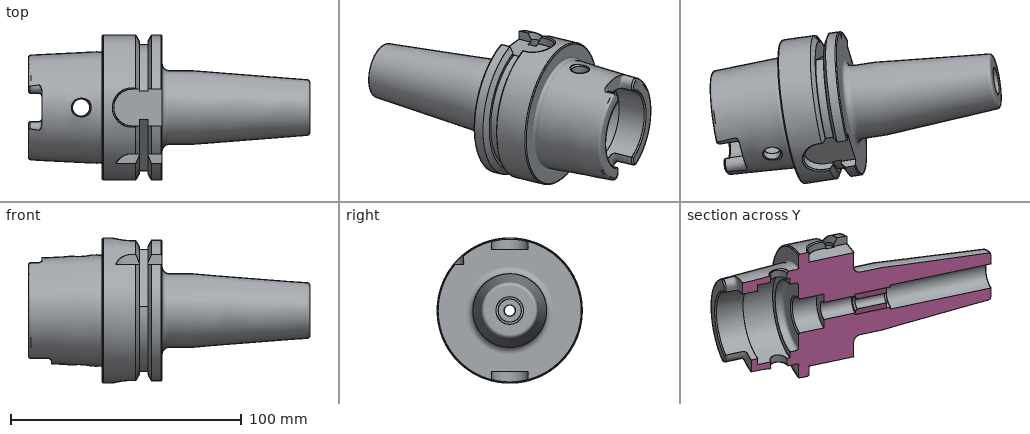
import cadquery as cq
import math

LENGTH = 122.0

TAPER_END_R = 22.7
TAPER_SLOPE = 0.05
TAPER_LENGTH = 29.8
NOSE_ROUND = 1.2
RELIEF_R = 48.1 / 2
RELIEF_START = 30.5
RELIEF_FILLET = 0.9
FACE_RECESS_R = 25.4
FACE_RECESS_DEPTH = 0.1

FLANGE_R = 63.0 / 2
FLANGE_START = 32.0
FLANGE_END = 58.0
FLANGE_CHAMFER = 0.5
GROOVE_R = 27.5
GROOVE_START = 48.1
GROOVE_END = 51.7
GROOVE_FLANK = 1.6
GROOVE_FLANK_ANGLE = 30.0

NECK_R = 32.0 / 2
NECK_FILLET = 3.0
NECK_CONE_START = 71.0
NECK_CONE_ANGLE = 4.5
NECK_TIP_ROUND = 1.5

CAVITY_R = 34.0 / 2
CAVITY_CHAMFER = 0.6
LIP_END = 13.0
CHAMBER_R = 40.0 / 2
CHAMBER_END = 28.0
CAVITY_FLOOR = FLANGE_START
CAVITY_FLOOR_FILLET = 1.5
COOLANT_SEAT_R = 17.0 / 2
COOLANT_SEAT_CHAMFER = 0.6
COOLANT_SEAT_END = 43.9
COOLANT_HOLE_R = 8.4 / 2
SCREW_R = 10.0 / 2
SCREW_START = 58.5
SCREW_END = 73.2
SCREW_HOLE_R = 4.8 / 2
SCREW_COUNTERSINK_R = 6.6 / 2
TOOL_BORE_R = 12.0 / 2
TOOL_BORE_START = 75.0

ACCESS_X = 22.8
ACCESS_R = 7.5 / 2
ACCESS_COUNTERSINK_R = 8.8 / 2

KEY_HALF_WIDTH = 6.1
KEY_DEPTH_TOP = 5.9
KEY_DEPTH_BOTTOM = 10.0
KEY_FLARE_START = 17.7
KEY_FLARE_R = 3.0
KEY_FLOOR_FILLET = 1.5
KEY_ENTRY_CHAMFER = 0.7

CUTTER_R = 7.9
CUTTER_X = 44.9
SLOT_FLOOR = 26.5
SLOT_CHAMFER = 0.6
NOTCH_CORNER = 20.0

FLAT_DISTANCE = 21.6
FLAT_ANGLE = 138.0

CLEARANCE = 6.1


def revolve_about_x(profile):
    """Turn an outline drawn as (x, radius) about the X axis."""
    return profile.close().revolve(360, (0, 0, 0), (1, 0, 0))


def outer_body():
    """Shank, flange, groove and neck as one turned shape."""
    taper_big_r = TAPER_END_R + TAPER_SLOPE * TAPER_LENGTH
    flank_r = FLANGE_R - GROOVE_FLANK / math.tan(math.radians(GROOVE_FLANK_ANGLE))
    neck_tip_r = NECK_R - (LENGTH - NECK_CONE_START) * math.tan(math.radians(NECK_CONE_ANGLE))
    recess_x = FLANGE_START + FACE_RECESS_DEPTH
    profile = (
        cq.Workplane("XY")
        .moveTo(0, 0)
        .lineTo(0, TAPER_END_R)
        .lineTo(TAPER_LENGTH, taper_big_r)
        .lineTo(RELIEF_START, RELIEF_R)
        .lineTo(recess_x - RELIEF_FILLET, RELIEF_R)
        .radiusArc((recess_x, RELIEF_R + RELIEF_FILLET), -RELIEF_FILLET)
        .lineTo(FLANGE_START, FACE_RECESS_R)
        .lineTo(FLANGE_START, FLANGE_R - FLANGE_CHAMFER)
        .lineTo(FLANGE_START + FLANGE_CHAMFER, FLANGE_R)
        .lineTo(GROOVE_START - GROOVE_FLANK, FLANGE_R)
        .lineTo(GROOVE_START, flank_r)
        .lineTo(GROOVE_START, GROOVE_R)
        .lineTo(GROOVE_END, GROOVE_R)
        .lineTo(GROOVE_END, flank_r)
        .lineTo(GROOVE_END + GROOVE_FLANK, FLANGE_R)
        .lineTo(FLANGE_END - FLANGE_CHAMFER, FLANGE_R)
        .lineTo(FLANGE_END, FLANGE_R - FLANGE_CHAMFER)
        .lineTo(FLANGE_END, NECK_R + NECK_FILLET)
        .radiusArc((FLANGE_END + NECK_FILLET, NECK_R), -NECK_FILLET)
        .lineTo(NECK_CONE_START, NECK_R)
        .lineTo(LENGTH, neck_tip_r)
        .lineTo(LENGTH, 0)
    )
    body = revolve_about_x(profile).faces(">X").edges().fillet(NECK_TIP_ROUND)
    return body.faces("<X").edges().fillet(NOSE_ROUND)


def inner_bore():
    """Clamping cavity, coolant seat, screw hole and tool bore as one turned cutting shape."""
    profile = (
        cq.Workplane("XY")
        .moveTo(0, 0)
        .lineTo(0, CAVITY_R + CAVITY_CHAMFER)
        .lineTo(CAVITY_CHAMFER, CAVITY_R)
        .lineTo(LIP_END, CAVITY_R)
        .lineTo(LIP_END, CHAMBER_R)
        .lineTo(CHAMBER_END, CHAMBER_R)
        .lineTo(CHAMBER_END, CAVITY_R)
        .lineTo(CAVITY_FLOOR - CAVITY_FLOOR_FILLET, CAVITY_R)
        .radiusArc((CAVITY_FLOOR, CAVITY_R - CAVITY_FLOOR_FILLET), CAVITY_FLOOR_FILLET)
        .lineTo(CAVITY_FLOOR, COOLANT_SEAT_R + COOLANT_SEAT_CHAMFER)
        .lineTo(CAVITY_FLOOR + COOLANT_SEAT_CHAMFER, COOLANT_SEAT_R)
        .lineTo(COOLANT_SEAT_END, COOLANT_SEAT_R)
        .lineTo(COOLANT_SEAT_END, COOLANT_HOLE_R)
        .lineTo(SCREW_START, COOLANT_HOLE_R)
        .lineTo(SCREW_START, SCREW_R)
        .lineTo(TOOL_BORE_START, SCREW_R)
        .lineTo(TOOL_BORE_START, TOOL_BORE_R)
        .lineTo(LENGTH, TOOL_BORE_R)
        .lineTo(LENGTH, 0)
    )
    return revolve_about_x(profile)


def access_hole():
    """Hole across the taper along Z, countersunk where it meets the taper on both sides."""
    surface_r = TAPER_END_R + TAPER_SLOPE * ACCESS_X
    countersink_depth = ACCESS_COUNTERSINK_R - ACCESS_R
    profile = (
        cq.Workplane("XZ")
        .moveTo(0, 0)
        .lineTo(ACCESS_R, 0)
        .lineTo(ACCESS_R, surface_r - countersink_depth)
        .lineTo(ACCESS_COUNTERSINK_R, surface_r)
        .lineTo(ACCESS_COUNTERSINK_R, surface_r + CLEARANCE)
        .lineTo(0, surface_r + CLEARANCE)
        .close()
        .revolve(360, (0, 0, 0), (0, 1, 0))
    )
    hole = profile.union(profile.mirror("XY"))
    return hole.translate((ACCESS_X, 0, 0))


def key_outline(x, growth):
    """Drive-slot outline across the axis at x, with its walls moved outwards by growth."""
    wall = KEY_HALF_WIDTH + growth
    flare_r = KEY_FLARE_R - growth
    ledge = wall + flare_r
    ledge_z = KEY_FLARE_START + flare_r
    outer_z = TAPER_END_R + CLEARANCE
    inner_z = CAVITY_R - CLEARANCE
    return (
        cq.Workplane("YZ", origin=(x, 0, 0))
        .moveTo(-wall, inner_z)
        .lineTo(wall, inner_z)
        .lineTo(wall, KEY_FLARE_START)
        .radiusArc((ledge, ledge_z), flare_r)
        .lineTo(ledge + CLEARANCE, ledge_z)
        .lineTo(ledge + CLEARANCE, outer_z)
        .lineTo(-ledge - CLEARANCE, outer_z)
        .lineTo(-ledge - CLEARANCE, ledge_z)
        .lineTo(-ledge, ledge_z)
        .radiusArc((-wall, KEY_FLARE_START), flare_r)
        .close()
    )


def drive_slot(depth):
    """Flared slot cut into the taper end on the +Z side."""
    slot = key_outline(-CLEARANCE, 0).extrude(CLEARANCE + depth)
    slot = slot.faces(">X").edges().fillet(KEY_FLOOR_FILLET)
    entry = cq.Workplane(
        cq.Solid.makeLoft(
            [
                key_outline(-KEY_ENTRY_CHAMFER, 2 * KEY_ENTRY_CHAMFER).val(),
                key_outline(KEY_ENTRY_CHAMFER, 0).val(),
            ],
            True,
        )
    )
    return slot.union(entry)


def cutter_path(center_y, floor_z):
    """Round-ended cut along X at the given Y, from floor_z outwards and open at the neck side."""
    end_x = FLANGE_END + CLEARANCE
    return (
        cq.Workplane("XY", origin=(0, center_y, floor_z))
        .moveTo(end_x, CUTTER_R)
        .lineTo(CUTTER_X, CUTTER_R)
        .threePointArc((CUTTER_X - CUTTER_R, 0), (CUTTER_X, -CUTTER_R))
        .lineTo(end_x, -CUTTER_R)
        .close()
        .extrude(FLANGE_R)
    )


def slot_rims():
    """Selector for the slot edges on the flange surface between the taper and the groove."""
    half_width = CUTTER_R + SLOT_CHAMFER
    rims = [
        cq.selectors.BoxSelector(
            (FLANGE_START + FLANGE_CHAMFER, -half_width, side * (SLOT_FLOOR + SLOT_CHAMFER)),
            (GROOVE_START - GROOVE_FLANK, half_width, side * (FLANGE_R + SLOT_CHAMFER)),
        )
        for side in (1, -1)
    ]
    return rims[0] + rims[1]


def groove_flat():
    """Block that cuts one flat chord into the bottom of the gripper groove."""
    return (
        cq.Workplane("XY")
        .box(GROOVE_END - GROOVE_START, GROOVE_R, 2 * GROOVE_R, centered=(False, False, True))
        .translate((GROOVE_START, FLAT_DISTANCE, 0))
        .rotate((0, 0, 0), (1, 0, 0), FLAT_ANGLE)
    )


def make_holder():
    """Turned holder with its flange slots, notch, bores and drive slots cut out."""
    slot = cutter_path(0, SLOT_FLOOR)
    notch = cutter_path(-NOTCH_CORNER - CUTTER_R, NOTCH_CORNER)
    holder = outer_body().cut(slot).cut(slot.mirror("XY"))
    holder = holder.edges(slot_rims()).chamfer(SLOT_CHAMFER)
    holder = holder.cut(notch).cut(groove_flat())
    holder = holder.cut(inner_bore()).cut(access_hole())
    return holder.cut(drive_slot(KEY_DEPTH_TOP)).cut(drive_slot(KEY_DEPTH_BOTTOM).mirror("XY"))


def make_stop_screw():
    """Hollow length-stop screw, countersunk on its taper side."""
    countersink = SCREW_COUNTERSINK_R - SCREW_HOLE_R
    profile = (
        cq.Workplane("XY")
        .moveTo(SCREW_START, SCREW_COUNTERSINK_R)
        .lineTo(SCREW_START, SCREW_R)
        .lineTo(SCREW_END, SCREW_R)
        .lineTo(SCREW_END, SCREW_HOLE_R)
        .lineTo(SCREW_START + countersink, SCREW_HOLE_R)
    )
    return revolve_about_x(profile)


holder = make_holder()
stop_screw = make_stop_screw()
result = cq.Compound.makeCompound([holder.val(), stop_screw.val()])